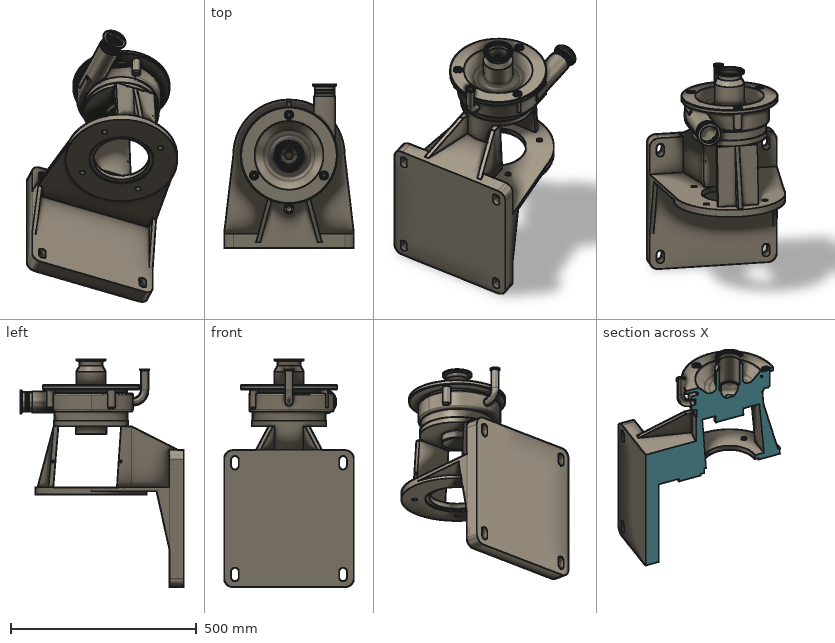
import cadquery as cq
import math


MOUNT_WIDTH = 350.0
MOUNT_HEIGHT = 370.0
MOUNT_THICK = 39.5
MOUNT_BACK_Y = -250.0
MOUNT_FRONT_Y = MOUNT_BACK_Y + MOUNT_THICK
MOUNT_CORNER_R = 24.5
SLOT_WIDTH = 20.0
SLOT_LENGTH = 35.5
SLOT_X = 145.5
SLOT_EDGE_GAP = 34.5

BASE_TOP_Z = 269.0
BASE_R = 150.5
BASE_DISC_THICK = 19.5
SHEET = 11.0
BASE_BORE_R = 75.0
BASE_BORE_LIP = 15.0
BASE_RECESS_R = 86.0
BASE_HOLE_CIRCLE_R = 114.0
BASE_HOLE_D = 15.0
GUSSET_TIP_Y = -176.5
GUSSET_BOTTOM_Z = 102.5

YOKE_TOP_Z = 434.0
LEG_HALF_WIDTH = 55.0
FRONT_LEG_Y = -109.0
FRONT_LEG_INNER_BOTTOM_Y = -69.5
FRONT_LEG_INNER_TOP_Y = -80.5
REAR_LEG_INNER_BOTTOM_Y = 101.5
REAR_LEG_INNER_TOP_Y = 88.0
REAR_LEG_THICK = 13.0
REAR_RIB_FOOT_Y = 144.5
RIB_ANGLE = 15.0
RIB_END_Y = -235.0
RIB_THICK = 11.5
PIN_HOLE_D = 6.0
PIN_HOLE_DEPTH = 6.0
PIN_HOLE_Z = 339.0
FRONT_PIN_Y = -80.0
REAR_PIN_Y = 102.0

FLANGE_R = 101.0
FLANGE_TOP_Z = 449.0
BACKPLATE_R = 99.0
HUB_R = 42.0
HUB_BOTTOM_Z = 412.5
HUB_EDGE = 2.0
VOLUTE_BOTTOM_Z = 472.5
VOLUTE_TOP_Z = 522.5
VOLUTE_BOTTOM_FILLET = 7.0
VOLUTE_TOP_FILLET = 3.5
VOLUTE_LEFT_R = 107.5
VOLUTE_FRONT_R = 113.0
VOLUTE_RIGHT_R = 121.0
VOLUTE_REAR_R = 102.0
PORT_Z = 499.5
NECK_R = 94.0
COLLAR_R = 98.5
COLLAR_BOTTOM_Z = 526.0
COVER_R = 130.0
COVER_BOTTOM_Z = 533.0
COVER_TOP_Z = 545.0
COVER_EDGE = 2.0
DISH_TOP_R = 93.0
DISH_EDGE = 2.0
DISH_CONE_END_R = 69.0
DISH_CONE_END_Z = 520.5
DISH_FLOOR_R = 57.0
DISH_FLOOR_Z = 516.0
DISH_ROOT_R = 54.0

TOTAL_HEIGHT = 614.5
INLET_R = 40.0
INLET_SHOULDER_Z = 581.5
INLET_NECK_R = 31.5
INLET_NECK_Z = 596.5
INLET_RIM_R = 39.5
INLET_BORE_R = 29.5
INLET_THROAT_R = 24.5
INLET_THROAT_Z = 516.0
INLET_BOWL_MID_R = 21.0
INLET_BOWL_MID_Z = 496.5
INLET_FLOOR_R = 10.5
INLET_FLOOR_Z = 485.5
RIM_THICK = 3.0
RIM_TAPER = 3.0
SEAL_GROOVE_INNER_R = 32.5
SEAL_GROOVE_OUTER_R = 35.5
SEAL_GROOVE_DEPTH = 1.0

BOLT_CIRCLE_R = 109.0
BOLT_ANGLES = (90, 210, 330)
BOSS_R = 11.0
BOSS_BOTTOM_Z = 481.0
BOSS_EDGE = 4.0
BOLT_RECESS_R = 11.5
BOLT_HEAD_R = 9.0
BOLT_RECESS_DEPTH = 5.0
SOCKET_ACROSS = 10.5

PIPE_X = 96.0
PIPE_R = 29.0
PIPE_STEP_Y = 158.5
PIPE_NECK_R = 27.0
PIPE_END_Y = 191.0
PIPE_RIM_R = 32.0
PIPE_BORE_R = 24.0
GROOVE_R = 26.0
GROOVE_WIDTH = 3.0
GROOVE_Y = (166.0, 174.0)

ELBOW_Y = -144.5
ELBOW_BEND_R = 32.5
ELBOW_TUBE_R = 10.5
ELBOW_BORE_R = 8.0
ELBOW_TOP_Z = 588.0
ELBOW_RIM_R = 13.0
ELBOW_RIM_THICK = 2.5


def cylinder(radius, bottom, top, x=0.0, y=0.0):
    """Upright cylinder between two heights."""
    return cq.Workplane("XY", origin=(x, y, bottom)).circle(radius).extrude(top - bottom)


def turned(profile):
    """Solid turned about Z from (radius, height) points."""
    return cq.Workplane("XZ").polyline(profile).close().revolve(360, (0, 0), (0, 1))


def side_plate(points, x_start, width):
    """Plate with a (y, z) outline, reaching from x_start toward +X."""
    return cq.Workplane("YZ", origin=(x_start, 0, 0)).polyline(points).close().extrude(width)


def make_mount_plate():
    plate = cq.Workplane("XY").box(MOUNT_WIDTH, MOUNT_THICK, MOUNT_HEIGHT, centered=(True, False, False))
    plate = plate.edges("|Y").fillet(MOUNT_CORNER_R).translate((0, MOUNT_BACK_Y, 0))
    slot_places = [(x, z) for x in (-SLOT_X, SLOT_X) for z in (SLOT_EDGE_GAP, MOUNT_HEIGHT - SLOT_EDGE_GAP)]
    slots = (
        cq.Workplane("XZ", origin=(0, MOUNT_FRONT_Y, 0))
        .pushPoints(slot_places)
        .slot2D(SLOT_LENGTH, SLOT_WIDTH, 90)
        .extrude(MOUNT_THICK)
    )
    return plate.cut(slots)


def base_outline(inset):
    """Round end with two straight sides that widen to the mounting plate, moved in sideways by inset."""
    radius = BASE_R - inset
    corner_x = MOUNT_WIDTH / 2 - inset
    return (
        cq.Workplane("XY")
        .moveTo(corner_x, MOUNT_FRONT_Y)
        .lineTo(radius, 0)
        .threePointArc((0, radius), (-radius, 0))
        .lineTo(-corner_x, MOUNT_FRONT_Y)
        .close()
    )


def make_base_plate():
    sheet = base_outline(0).extrude(SHEET).translate((0, 0, BASE_TOP_Z - SHEET))
    disc = cylinder(BASE_R, BASE_TOP_Z - BASE_DISC_THICK, BASE_TOP_Z)
    holes = (
        cq.Workplane("XY", origin=(0, 0, BASE_TOP_Z - BASE_DISC_THICK))
        .polarArray(BASE_HOLE_CIRCLE_R, 45, 360, 4)
        .circle(BASE_HOLE_D / 2)
        .extrude(BASE_DISC_THICK)
    )
    bore = cylinder(BASE_BORE_R, BASE_TOP_Z - BASE_DISC_THICK, BASE_TOP_Z)
    recess = cylinder(BASE_RECESS_R, BASE_TOP_Z - BASE_DISC_THICK, BASE_TOP_Z - BASE_BORE_LIP)
    return sheet.union(disc).cut(holes).cut(bore).cut(recess)


def make_gussets():
    """Two sheet gussets under the base plate, flush with its slanted sides."""
    wall = base_outline(0).extrude(BASE_TOP_Z).cut(base_outline(SHEET).extrude(BASE_TOP_Z))
    under_z = BASE_TOP_Z - SHEET
    triangle = [(GUSSET_TIP_Y, under_z), (MOUNT_FRONT_Y, under_z), (MOUNT_FRONT_Y, GUSSET_BOTTOM_Z)]
    return wall.intersect(side_plate(triangle, -MOUNT_WIDTH / 2, MOUNT_WIDTH))


def rib_outer_x(y):
    """Distance of a front rib's outer face from the YZ plane."""
    return LEG_HALF_WIDTH + (FRONT_LEG_Y - y) * math.tan(math.radians(RIB_ANGLE))


def rib_inner_x(y):
    return rib_outer_x(y) - RIB_THICK / math.cos(math.radians(RIB_ANGLE))


def make_front_support():
    """Front leg, its two splayed ribs and the filled step between them."""
    leg = side_plate(
        [
            (FRONT_LEG_Y, BASE_TOP_Z),
            (FRONT_LEG_INNER_BOTTOM_Y, BASE_TOP_Z),
            (FRONT_LEG_INNER_TOP_Y, YOKE_TOP_Z),
            (FRONT_LEG_Y, YOKE_TOP_Z),
        ],
        -LEG_HALF_WIDTH,
        2 * LEG_HALF_WIDTH,
    )
    wedge_outline = [
        (rib_outer_x(FRONT_LEG_Y), FRONT_LEG_Y),
        (-rib_outer_x(FRONT_LEG_Y), FRONT_LEG_Y),
        (-rib_outer_x(RIB_END_Y), RIB_END_Y),
        (rib_outer_x(RIB_END_Y), RIB_END_Y),
    ]
    wedge = cq.Workplane("XY").polyline(wedge_outline).close().extrude(YOKE_TOP_Z)
    rib_side = [
        (FRONT_LEG_Y, YOKE_TOP_Z),
        (RIB_END_Y, MOUNT_HEIGHT),
        (MOUNT_FRONT_Y, MOUNT_HEIGHT),
        (MOUNT_FRONT_Y, BASE_TOP_Z),
        (FRONT_LEG_Y, BASE_TOP_Z),
    ]
    wedge = wedge.intersect(side_plate(rib_side, -MOUNT_WIDTH / 2, MOUNT_WIDTH))
    gap_outline = [
        (rib_inner_x(0), 0),
        (-rib_inner_x(0), 0),
        (-rib_inner_x(MOUNT_BACK_Y), MOUNT_BACK_Y),
        (rib_inner_x(MOUNT_BACK_Y), MOUNT_BACK_Y),
    ]
    gap_height = YOKE_TOP_Z - MOUNT_HEIGHT
    gap = cq.Workplane("XY", origin=(0, 0, MOUNT_HEIGHT)).polyline(gap_outline).close().extrude(gap_height)
    gap = gap.cut(cylinder(FLANGE_R, MOUNT_HEIGHT, YOKE_TOP_Z))
    return leg.union(wedge).cut(gap)


def make_rear_support():
    """Leaning rear leg with one rib behind it."""
    foot_y = REAR_LEG_INNER_BOTTOM_Y
    head_y = REAR_LEG_INNER_TOP_Y
    leg = side_plate(
        [
            (foot_y, BASE_TOP_Z),
            (foot_y + REAR_LEG_THICK, BASE_TOP_Z),
            (head_y + REAR_LEG_THICK, YOKE_TOP_Z),
            (head_y, YOKE_TOP_Z),
        ],
        -LEG_HALF_WIDTH,
        2 * LEG_HALF_WIDTH,
    )
    rib = side_plate(
        [
            (foot_y, BASE_TOP_Z),
            (REAR_RIB_FOOT_Y, BASE_TOP_Z),
            (head_y + REAR_LEG_THICK, YOKE_TOP_Z),
            (head_y, YOKE_TOP_Z),
        ],
        -RIB_THICK / 2,
        RIB_THICK,
    )
    return leg.union(rib)


def make_pin_holes():
    """Blind cross holes in both sides of each leg."""
    places = [(FRONT_PIN_Y, PIN_HOLE_Z), (REAR_PIN_Y, PIN_HOLE_Z)]
    holes = cq.Workplane("YZ", origin=(-LEG_HALF_WIDTH, 0, 0)).pushPoints(places)
    holes = holes.circle(PIN_HOLE_D / 2).extrude(PIN_HOLE_DEPTH)
    return holes.union(holes.mirror("YZ"))


def make_volute():
    """Spiral casing that grows from the rear, round the -X side, to the discharge at +X."""
    half = math.sqrt(0.5)
    front_right = (VOLUTE_FRONT_R + VOLUTE_RIGHT_R) / 2 * half
    front_left = (VOLUTE_FRONT_R + VOLUTE_LEFT_R) / 2 * half
    rear_left = (VOLUTE_REAR_R + VOLUTE_LEFT_R) / 2 * half
    casing = (
        cq.Workplane("XY", origin=(0, 0, VOLUTE_BOTTOM_Z))
        .moveTo(VOLUTE_RIGHT_R, 0)
        .threePointArc((front_right, -front_right), (0, -VOLUTE_FRONT_R))
        .threePointArc((-front_left, -front_left), (-VOLUTE_LEFT_R, 0))
        .threePointArc((-rear_left, rear_left), (0, VOLUTE_REAR_R))
        .lineTo(PIPE_X, VOLUTE_REAR_R / 2)
        .lineTo(VOLUTE_RIGHT_R, VOLUTE_REAR_R / 2)
        .close()
        .extrude(VOLUTE_TOP_Z - VOLUTE_BOTTOM_Z)
    )
    casing = casing.faces("<Z").edges().fillet(VOLUTE_BOTTOM_FILLET)
    return casing.faces(">Z").edges().fillet(VOLUTE_TOP_FILLET)


def make_pump_body():
    body = cylinder(HUB_R, HUB_BOTTOM_Z, YOKE_TOP_Z).faces("<Z").chamfer(HUB_EDGE)
    body = body.union(cylinder(FLANGE_R, YOKE_TOP_Z, FLANGE_TOP_Z))
    body = body.union(cylinder(BACKPLATE_R, FLANGE_TOP_Z, VOLUTE_BOTTOM_Z))
    body = body.union(make_volute())
    body = body.union(cylinder(NECK_R, VOLUTE_TOP_Z, COLLAR_BOTTOM_Z))
    body = body.union(cylinder(COLLAR_R, COLLAR_BOTTOM_Z, COVER_BOTTOM_Z))
    cover = cylinder(COVER_R, COVER_BOTTOM_Z, COVER_TOP_Z).edges().chamfer(COVER_EDGE)
    body = body.union(cover)
    for angle in BOLT_ANGLES:
        x = BOLT_CIRCLE_R * math.cos(math.radians(angle))
        y = BOLT_CIRCLE_R * math.sin(math.radians(angle))
        boss = cylinder(BOSS_R, BOSS_BOTTOM_Z, COVER_BOTTOM_Z, x, y)
        body = body.union(boss.faces("<Z").chamfer(BOSS_EDGE))
        recess_z = COVER_TOP_Z - BOLT_RECESS_DEPTH
        recess = cylinder(BOLT_RECESS_R, recess_z, COVER_TOP_Z, x, y)
        socket = cq.Workplane("XY", origin=(x, y, recess_z)).polygon(6, SOCKET_ACROSS)
        head = cylinder(BOLT_HEAD_R, recess_z, COVER_TOP_Z, x, y).cut(socket.extrude(BOLT_RECESS_DEPTH))
        body = body.cut(recess).union(head)
    return body


def make_dish():
    """Ring-shaped hollow in the cover: a cone rounded into a floor, which curves up to the inlet nozzle."""
    fillet_r = DISH_ROOT_R - INLET_R
    diagonal = fillet_r * (1 - math.sqrt(0.5))
    return (
        cq.Workplane("XZ")
        .moveTo(DISH_TOP_R, COVER_TOP_Z)
        .lineTo(DISH_TOP_R - DISH_EDGE, COVER_TOP_Z - DISH_EDGE)
        .lineTo(DISH_CONE_END_R, DISH_CONE_END_Z)
        .tangentArcPoint((DISH_FLOOR_R, DISH_FLOOR_Z), relative=False)
        .lineTo(DISH_ROOT_R, DISH_FLOOR_Z)
        .threePointArc((INLET_R + diagonal, DISH_FLOOR_Z + diagonal), (INLET_R, DISH_FLOOR_Z + fillet_r))
        .lineTo(INLET_R, COVER_TOP_Z)
        .close()
        .revolve(360, (0, 0), (0, 1))
    )


def make_inlet():
    rim_z = TOTAL_HEIGHT - RIM_THICK
    return turned(
        [
            (0, DISH_FLOOR_Z),
            (INLET_R, DISH_FLOOR_Z),
            (INLET_R, INLET_SHOULDER_Z),
            (INLET_NECK_R, INLET_NECK_Z),
            (INLET_NECK_R, rim_z - RIM_TAPER),
            (INLET_RIM_R, rim_z),
            (INLET_RIM_R, TOTAL_HEIGHT),
            (0, TOTAL_HEIGHT),
        ]
    )


def make_inlet_bore():
    """Straight bore that steps in to a throat above a bowl with a small flat floor."""
    return (
        cq.Workplane("XZ")
        .moveTo(0, INLET_FLOOR_Z)
        .lineTo(INLET_FLOOR_R, INLET_FLOOR_Z)
        .threePointArc((INLET_BOWL_MID_R, INLET_BOWL_MID_Z), (INLET_THROAT_R, INLET_THROAT_Z))
        .lineTo(INLET_BORE_R, INLET_THROAT_Z)
        .lineTo(INLET_BORE_R, TOTAL_HEIGHT)
        .lineTo(0, TOTAL_HEIGHT)
        .close()
        .revolve(360, (0, 0), (0, 1))
    )


def make_seal_groove():
    groove_z = TOTAL_HEIGHT - SEAL_GROOVE_DEPTH
    core = cylinder(SEAL_GROOVE_INNER_R, groove_z, TOTAL_HEIGHT)
    return cylinder(SEAL_GROOVE_OUTER_R, groove_z, TOTAL_HEIGHT).cut(core)


def along_discharge(solid):
    """Lay a solid made along Z onto the discharge axis, which points to +Y."""
    return solid.rotate((0, 0, 0), (1, 0, 0), -90).translate((PIPE_X, 0, PORT_Z))


def make_discharge():
    rim_y = PIPE_END_Y - RIM_THICK
    pipe = turned(
        [
            (0, 0),
            (PIPE_R, 0),
            (PIPE_R, PIPE_STEP_Y),
            (PIPE_NECK_R, PIPE_STEP_Y),
            (PIPE_NECK_R, rim_y - RIM_TAPER),
            (PIPE_RIM_R, rim_y),
            (PIPE_RIM_R, PIPE_END_Y),
            (0, PIPE_END_Y),
        ]
    )
    for y in GROOVE_Y:
        ring = cylinder(PIPE_R, y, y + GROOVE_WIDTH).cut(cylinder(GROOVE_R, y, y + GROOVE_WIDTH))
        pipe = pipe.cut(ring)
    return along_discharge(pipe)


def elbow_sweep(radius):
    """Round bar that leaves the volute toward -Y and bends up to the drain's rim."""
    bend_y = ELBOW_Y + ELBOW_BEND_R
    bend_z = PORT_Z + ELBOW_BEND_R
    diagonal = ELBOW_BEND_R * math.sqrt(0.5)
    path = (
        cq.Workplane("YZ")
        .moveTo(bend_y + ELBOW_TUBE_R, PORT_Z)
        .lineTo(bend_y, PORT_Z)
        .threePointArc((bend_y - diagonal, bend_z - diagonal), (ELBOW_Y, bend_z))
        .lineTo(ELBOW_Y, ELBOW_TOP_Z)
    )
    return cq.Workplane("XZ", origin=(0, bend_y + ELBOW_TUBE_R, PORT_Z)).circle(radius).sweep(path)


def make_elbow():
    rim_z = ELBOW_TOP_Z - ELBOW_RIM_THICK
    rim = turned(
        [
            (0, rim_z - ELBOW_RIM_THICK),
            (ELBOW_TUBE_R, rim_z - ELBOW_RIM_THICK),
            (ELBOW_RIM_R, rim_z),
            (ELBOW_RIM_R, ELBOW_TOP_Z),
            (0, ELBOW_TOP_Z),
        ]
    )
    return elbow_sweep(ELBOW_TUBE_R).union(rim.translate((0, ELBOW_Y, 0)))


bracket = make_mount_plate().union(make_base_plate()).union(make_gussets())
bracket = bracket.union(make_front_support()).union(make_rear_support()).cut(make_pin_holes())

pump = make_pump_body().cut(make_dish()).union(make_inlet()).union(make_discharge()).union(make_elbow())
pump = pump.cut(make_inlet_bore()).cut(make_seal_groove())
pump = pump.cut(along_discharge(cylinder(PIPE_BORE_R, 0, PIPE_END_Y)))
pump = pump.cut(elbow_sweep(ELBOW_BORE_R))

result = bracket.union(pump)